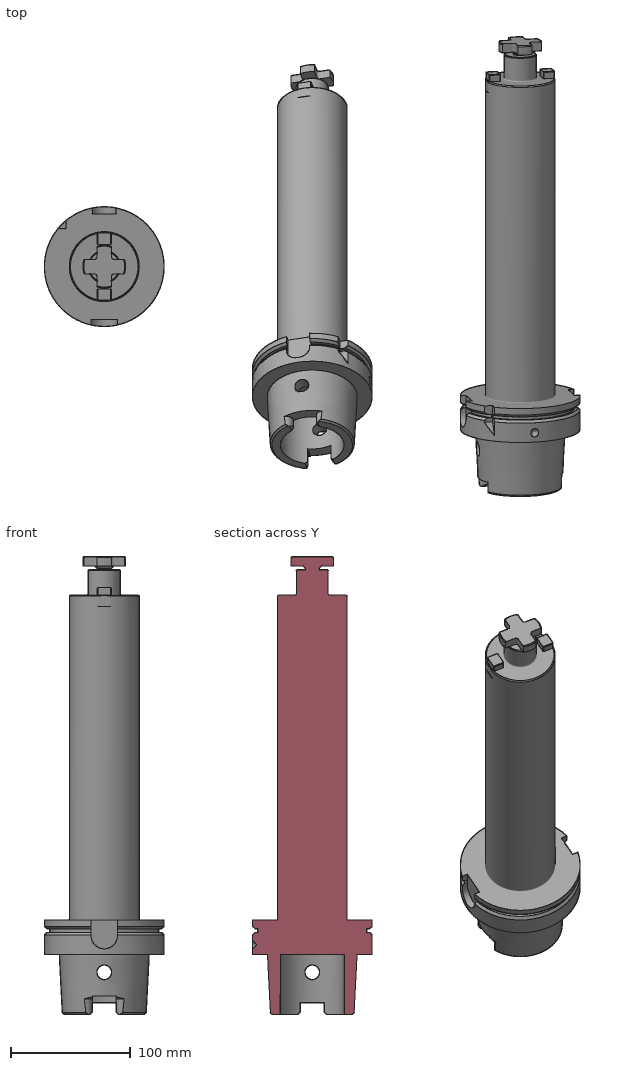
import cadquery as cq
import math

CUT = 1.0
FRONT = -1
REAR = 1

shank_length = 50.0
shank_top_radius = 37.5
shank_collar_height = 2.0
taper_per_side = 1 / 20
shank_chamfer = 1.5
bore_radius = 26.5
shank_hole_diameter = 12.0
shank_hole_z = -14.8

slot_width = 20.0
slot_corner_radius = 6.0
slot_flat_distance = 31.6
slot_mouth_chamfer = 2.0
slot_flat_width = 44.0
rear_slot_top = -40.3
front_slot_top = -34.5
front_flat_top = -37.0

flange_radius = 50.0
flange_height = 29.0
groove_z = 20.0
groove_width = 7.0
groove_floor_width = 2.8
groove_step_radius = 47.8
groove_depth = 4.5
pocket_floor = 44.0
front_pocket_width = 22.0
rear_pocket_width = 20.0
pocket_bottom = 4.8
notch_corner = 31.7
notch_slope_top = 15.0
notch_slope_angle = 55.0
flange_hole_diameter = 7.0
flange_hole_z = 8.0
flange_hole_depth = 3.5

body_radius = 29.2
body_top = 300.0
body_chamfer = 1.0
body_base_fillet = 0.5
spigot_radius = 13.5
spigot_top = 321.0
spigot_chamfer = 0.7
spigot_fillet = 1.0

key_width = 12.0
key_height = 6.0
key_inner = 18.5
key_outer = 28.0
key_chamfer = 0.6
key_seat_distance = 28.75
key_seat_width = 10.5
key_seat_depth = 9.5

head_top = 331.9
head_bottom = 324.0
head_radius = 17.9
head_arm_width = 12.0
head_corner_radius = 2.3
head_end_radius = 1.5
head_chamfer = 0.8
neck_radius = 6.0
neck_cone_height = 2.0


def block(x_range, y_range, z_range):
    """Axis-aligned box given by its limits."""
    size = [high - low for low, high in (x_range, y_range, z_range)]
    corner = (x_range[0], y_range[0], z_range[0])
    return cq.Workplane("XY").box(*size, centered=False).translate(corner)


def make_turned_body():
    """Shank, flange, arbor and spigot turned in one profile, with the shank bore."""
    taper_start = -shank_collar_height
    end_radius = shank_top_radius - taper_per_side * (shank_length - shank_collar_height)
    groove_half = groove_width / 2
    floor_half = groove_floor_width / 2
    groove_radius = flange_radius - groove_depth
    base_arc_mid = body_base_fillet * (1 - math.sqrt(0.5))
    spigot_arc_mid = spigot_fillet * (1 - math.sqrt(0.5))
    profile = (
        cq.Workplane("XZ")
        .moveTo(0, 0)
        .lineTo(bore_radius, 0)
        .lineTo(bore_radius, -shank_length)
        .lineTo(end_radius - shank_chamfer, -shank_length)
        .lineTo(end_radius, -shank_length + shank_chamfer)
        .lineTo(shank_top_radius, taper_start)
        .lineTo(shank_top_radius, 0)
        .lineTo(flange_radius, 0)
        .lineTo(flange_radius, groove_z - groove_half)
        .lineTo(groove_step_radius, groove_z - floor_half)
        .lineTo(groove_radius, groove_z - floor_half)
        .lineTo(groove_radius, groove_z + floor_half)
        .lineTo(groove_step_radius, groove_z + floor_half)
        .lineTo(flange_radius, groove_z + groove_half)
        .lineTo(flange_radius, flange_height)
        .lineTo(body_radius + body_base_fillet, flange_height)
        .threePointArc(
            (body_radius + base_arc_mid, flange_height + base_arc_mid),
            (body_radius, flange_height + body_base_fillet),
        )
        .lineTo(body_radius, body_top - body_chamfer)
        .lineTo(body_radius - body_chamfer, body_top)
        .lineTo(spigot_radius + spigot_fillet, body_top)
        .threePointArc(
            (spigot_radius + spigot_arc_mid, body_top + spigot_arc_mid),
            (spigot_radius, body_top + spigot_fillet),
        )
        .lineTo(spigot_radius, spigot_top - spigot_chamfer)
        .lineTo(spigot_radius - spigot_chamfer, spigot_top)
        .lineTo(0, spigot_top)
        .close()
    )
    return profile.revolve(360, (0, 0, 0), (0, 1, 0))


def drive_slot_cutter(side, slot_top, flat_top):
    """Slot through the shank wall on the given Y side, flaring into flats outside."""
    half = slot_width / 2
    outer = shank_top_radius + CUT
    arc_start = slot_flat_distance - slot_corner_radius
    arc_offset = slot_corner_radius * math.sqrt(0.5)
    arc_x = half + slot_corner_radius
    bottom = -shank_length - CUT
    flare = (
        cq.Workplane("XY")
        .workplane(offset=bottom)
        .moveTo(0, 0)
        .lineTo(half, 0)
        .lineTo(half, side * arc_start)
        .threePointArc(
            (arc_x - arc_offset, side * (arc_start + arc_offset)),
            (arc_x, side * slot_flat_distance),
        )
        .lineTo(slot_flat_width / 2, side * slot_flat_distance)
        .lineTo(slot_flat_width / 2, side * outer)
        .lineTo(0, side * outer)
        .close()
        .extrude(flat_top - bottom)
    )
    flare = flare.union(flare.mirror("YZ"))
    y_range = sorted((0, side * outer))
    return flare.union(block((-half, half), y_range, (bottom, slot_top)))


def slot_mouth_cutter():
    """Chamfer along the lower edges of both drive slots."""
    half = slot_width / 2
    flared_half = half + slot_mouth_chamfer
    return (
        cq.Workplane("XZ")
        .polyline([
            (-flared_half, -shank_length),
            (-half, -shank_length + slot_mouth_chamfer),
            (half, -shank_length + slot_mouth_chamfer),
            (flared_half, -shank_length),
        ])
        .close()
        .extrude(shank_top_radius, both=True)
    )


def front_slot_ceiling():
    """Wedge that slopes the ceiling of the front flats up to the shank surface."""
    surface_radius = shank_top_radius + taper_per_side * (front_slot_top + shank_collar_height)
    return (
        cq.Workplane("YZ")
        .polyline([
            (-slot_flat_distance, front_flat_top),
            (-surface_radius, front_slot_top),
            (-surface_radius - CUT, front_slot_top),
            (-surface_radius - CUT, front_flat_top),
        ])
        .close()
        .extrude(slot_flat_width / 2, both=True)
    )


def flange_pocket(side, width):
    """Round-bottomed pocket in the rim of the flange, open at the top."""
    radius = width / 2
    y_range = sorted((side * pocket_floor, side * (flange_radius + CUT)))
    center_z = pocket_bottom + radius
    straight = block((-radius, radius), y_range, (center_z, flange_height + CUT))
    round_end = (
        cq.Workplane("XZ", origin=(0, y_range[1], center_z))
        .circle(radius)
        .extrude(y_range[1] - y_range[0])
    )
    return straight.union(round_end)


def flange_notch():
    """Corner notch in the rim whose floor falls away outwards."""
    run = flange_radius - notch_corner
    drop = run * math.tan(math.radians(notch_slope_angle))
    return (
        cq.Workplane("XZ", origin=(0, flange_radius, 0))
        .polyline([
            (-notch_corner, flange_height + CUT),
            (-notch_corner, notch_slope_top),
            (-flange_radius, notch_slope_top - drop),
            (-flange_radius, flange_height + CUT),
        ])
        .close()
        .extrude(run)
    )


def flange_hole():
    """Conical radial hole on the -X side of the flange."""
    cone = cq.Solid.makeCone(
        flange_hole_diameter / 2,
        0,
        flange_hole_depth,
        cq.Vector(-flange_radius, 0, flange_hole_z),
        cq.Vector(1, 0, 0),
    )
    return cq.Workplane(cone)


def shank_cross_hole():
    """Radial hole through both walls of the shank."""
    return (
        cq.Workplane("XZ", origin=(0, 0, shank_hole_z))
        .circle(shank_hole_diameter / 2)
        .extrude(shank_top_radius + CUT, both=True)
    )


def drive_key(side):
    """Key standing on the arbor face."""
    y_range = sorted((side * key_inner, side * key_outer))
    half = key_width / 2
    key = block((-half, half), y_range, (body_top - CUT, body_top + key_height))
    return key.edges("|Z or (|Y and >Z)").chamfer(key_chamfer)


def key_seat_flat(side):
    """Shallow flat on the arbor below a key."""
    y_range = sorted((side * key_seat_distance, side * (body_radius + CUT)))
    half = key_seat_width / 2
    return block((-half, half), y_range, (body_top - key_seat_depth, body_top + CUT))


def make_screw():
    """Cross-shaped screw head on a conical neck."""
    half = head_arm_width / 2
    along_x = block((-head_radius, head_radius), (-half, half), (head_bottom, head_top))
    along_x = along_x.edges("|Z").fillet(head_end_radius)
    along_y = along_x.rotate((0, 0, 0), (0, 0, 1), 90)
    inner_corners = cq.selectors.BoxSelector(
        (-half - CUT, -half - CUT, head_bottom), (half + CUT, half + CUT, head_top)
    )
    cross = along_x.union(along_y).edges("|Z").edges(inner_corners).fillet(head_corner_radius)
    rim = (
        cq.Workplane("XY")
        .workplane(offset=head_bottom)
        .circle(head_radius)
        .extrude(head_top - head_bottom)
        .faces(">Z")
        .chamfer(head_chamfer)
    )
    neck = (
        cq.Workplane("XZ")
        .moveTo(0, spigot_top)
        .lineTo(neck_radius, spigot_top)
        .lineTo(neck_radius, head_bottom - neck_cone_height)
        .lineTo(neck_radius + neck_cone_height, head_bottom)
        .lineTo(0, head_bottom)
        .close()
        .revolve(360, (0, 0, 0), (0, 1, 0))
    )
    return cross.intersect(rim).union(neck)


result = make_turned_body()
result = result.cut(drive_slot_cutter(FRONT, front_slot_top, front_flat_top))
result = result.cut(front_slot_ceiling())
result = result.cut(drive_slot_cutter(REAR, rear_slot_top, rear_slot_top))
result = result.cut(slot_mouth_cutter())
result = result.cut(shank_cross_hole())
result = result.cut(flange_pocket(FRONT, front_pocket_width))
result = result.cut(flange_pocket(REAR, rear_pocket_width))
result = result.cut(flange_notch())
result = result.cut(flange_hole())
for side in (FRONT, REAR):
    result = result.cut(key_seat_flat(side))
    result = result.union(drive_key(side))
result = result.union(make_screw())